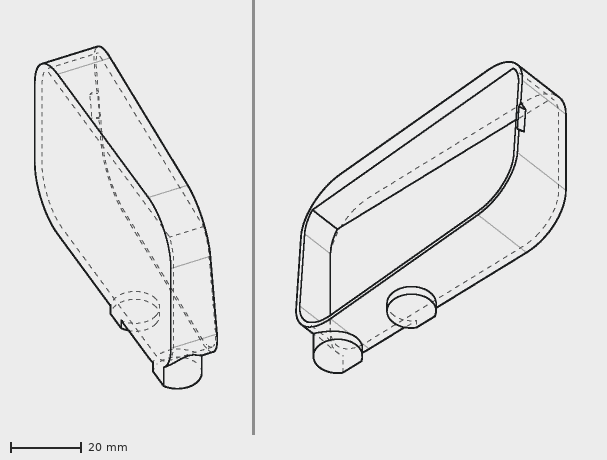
import cadquery as cq
import math

LENGTH = 90.0
TOTAL_HEIGHT = 63.0
FOOT_DROP = 3.0
BODY_HEIGHT = TOTAL_HEIGHT - FOOT_DROP
CORNER_RADIUS = 15.0

WALL = 1.5
TOP_WALL = 7.0

MAX_DEPTH = 21.3
RIM_ANGLE = 4.0
RIM_SLOPE = math.tan(math.radians(RIM_ANGLE))

FOOT_DIAMETER = 14.0
FOOT_AXIS_Y = 6.0
FOOT_X = (53.55, 81.6)

NOTCH_LENGTH = 9.2
NOTCH_HEIGHT = 2.2
NOTCH_DEPTH = 0.7
NOTCH_END_FLARE = 60.0
NOTCH_Z = BODY_HEIGHT / 2

deepest_offset = CORNER_RADIUS * (1 - math.sqrt(0.5))
RIM_AT_ORIGIN = MAX_DEPTH + 2 * RIM_SLOPE * deepest_offset


def rim_y(x, z):
    return RIM_AT_ORIGIN - RIM_SLOPE * (x + z)


def rounded_block(inset, front_y):
    """Block inside the body outline, reaching back past the rim."""
    return (
        cq.Workplane("XY")
        .box(
            LENGTH - 2 * inset,
            2 * MAX_DEPTH - front_y,
            BODY_HEIGHT - 2 * inset,
            centered=False,
        )
        .translate((inset, front_y, inset))
        .edges("|Y")
        .fillet(CORNER_RADIUS - inset)
    )


def behind_rim():
    """Solid that fills all the space behind the sloping rim plane."""
    normal = cq.Vector(RIM_SLOPE, 1, RIM_SLOPE)
    plane = cq.Plane(origin=(0, RIM_AT_ORIGIN, 0), xDir=(1, -RIM_SLOPE, 0), normal=normal)
    return cq.Workplane(plane).rect(4 * LENGTH, 4 * LENGTH).extrude(LENGTH)


def foot(x):
    """Post from below the body up to the height of the corner centres."""
    post = (
        cq.Workplane("XY", origin=(x, FOOT_AXIS_Y, -FOOT_DROP))
        .circle(FOOT_DIAMETER / 2)
        .extrude(FOOT_DROP + CORNER_RADIUS)
    )
    front_half_space = (
        cq.Workplane("XY")
        .box(LENGTH, LENGTH, LENGTH)
        .translate((x, -LENGTH / 2, 0))
    )
    return post.cut(front_half_space)


def pry_notch():
    """Cutter with a slanted floor and flared ends, running along the rim."""
    slant = math.hypot(NOTCH_HEIGHT, NOTCH_DEPTH)
    floor_direction = cq.Vector(NOTCH_DEPTH, NOTCH_HEIGHT, 0).normalized()
    along_rim = cq.Vector(0, -RIM_SLOPE, 1).normalized()
    outward = along_rim.cross(floor_direction)
    start = cq.Vector(0, rim_y(0, NOTCH_Z) - NOTCH_HEIGHT, NOTCH_Z)
    plane = cq.Plane(
        origin=(start + floor_direction * slant).toTuple(),
        xDir=along_rim,
        normal=outward,
    )
    return (
        cq.Workplane(plane)
        .rect(NOTCH_LENGTH, 2 * slant)
        .extrude(2 * NOTCH_DEPTH, taper=-NOTCH_END_FLARE)
    )


def cavity():
    """Hollow that follows the outline, with a thicker flat wall left at the top."""
    top_bar = (
        cq.Workplane("XY")
        .box(LENGTH, 2 * MAX_DEPTH, TOP_WALL, centered=False)
        .translate((0, 0, BODY_HEIGHT - TOP_WALL))
    )
    return rounded_block(WALL, WALL).cut(top_bar)


body = rounded_block(0, 0)
for foot_x in FOOT_X:
    body = body.union(foot(foot_x))

result = (
    body
    .cut(cavity())
    .cut(behind_rim())
    .cut(pry_notch())
)